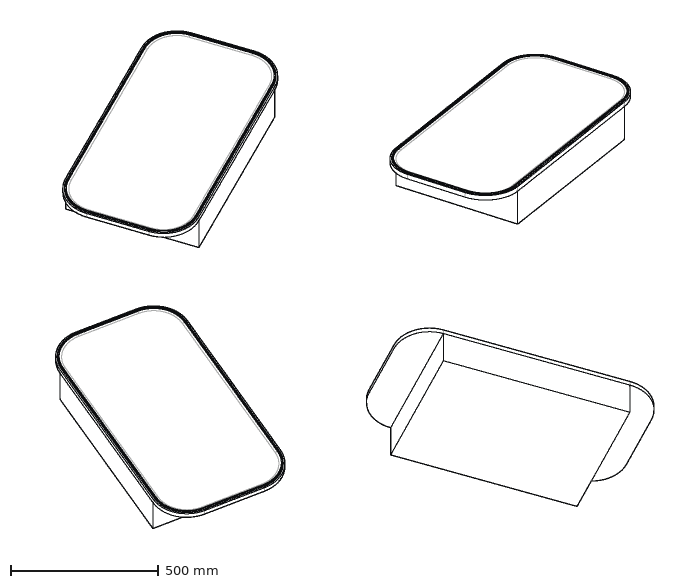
import cadquery as cq
import math

LENGTH = 940.0
WIDTH = 490.0
HEIGHT = 150.0

PLATE_THICKNESS = 21.0
CORNER_RADIUS = 130.0

CREST_FOOT_INSET = 6.0
CREST_OUTER_INSET = 8.0
CREST_INNER_INSET = 12.0
PANEL_INSET = 21.0

LEDGE_DROP = 3.0
LIP_DROP = 3.0
PANEL_DROP = 5.0

BASE_HEIGHT = HEIGHT - PLATE_THICKNESS
BASE_LENGTH = LENGTH - 2 * CORNER_RADIUS


def rounded_slab(bottom, top, bottom_inset, top_inset):
    """Slab following the plate outline, its walls leaning between two insets."""
    height = top - bottom
    taper = math.degrees(math.atan2(top_inset - bottom_inset, height))
    outline = cq.Sketch().rect(WIDTH - 2 * bottom_inset, LENGTH - 2 * bottom_inset)
    outline = outline.vertices().fillet(CORNER_RADIUS - bottom_inset)
    return cq.Workplane("XY").workplane(offset=bottom).placeSketch(outline).extrude(height, taper=taper)


def make_base():
    """Plain block under the straight part of the plate's long sides."""
    return cq.Workplane("XY").box(WIDTH, BASE_LENGTH, BASE_HEIGHT, centered=(True, True, False))


def make_plate():
    """Rounded plate with a beveled rim around a shallow sunken panel."""
    ledge_top = HEIGHT - LEDGE_DROP
    lip_bottom = HEIGHT - LIP_DROP
    panel_top = HEIGHT - PANEL_DROP

    body = rounded_slab(BASE_HEIGHT, ledge_top, 0, 0)
    rim = rounded_slab(ledge_top, HEIGHT, CREST_FOOT_INSET, CREST_OUTER_INSET)
    lip_recess = rounded_slab(lip_bottom, HEIGHT, CREST_INNER_INSET, CREST_INNER_INSET)
    panel_recess = rounded_slab(panel_top, lip_bottom, PANEL_INSET, CREST_INNER_INSET)
    return body.union(rim).cut(lip_recess).cut(panel_recess)


base = make_base()
plate = make_plate()
result = cq.Compound.makeCompound([base.val(), plate.solids().val()])